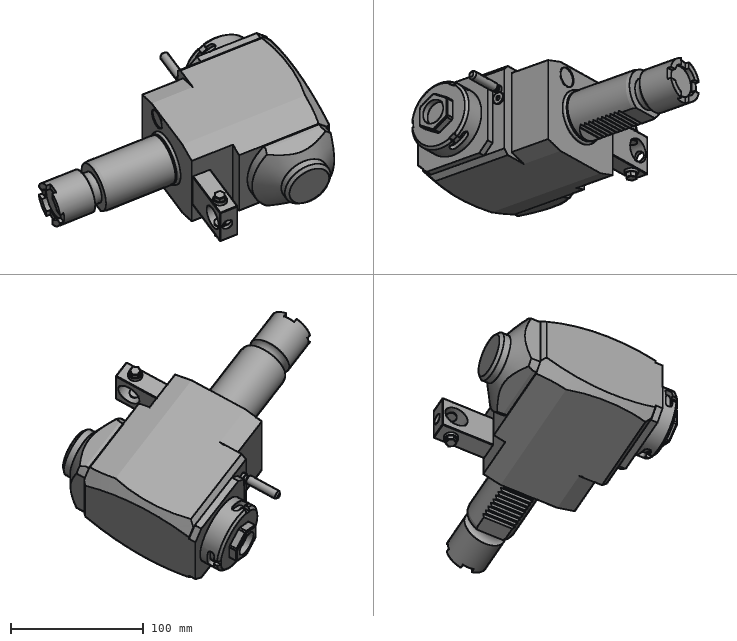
import cadquery as cq
import math


BODY_LENGTH = 114.2
BODY_HEIGHT = 75.0
BODY_HALF_HEIGHT = BODY_HEIGHT / 2
HEAD_LEFT = -47.5
HEAD_RIGHT = 48.5
HEAD_START = 35.3
NECK_HALF_WIDTH = 39.0
HEAD_EDGE_CHAMFER = 4.0
ROOF_HALF_WIDTH = 24.0
ROOF_SLOPE = math.tan(math.radians(16))
BACK_CORNER_CHAMFER = 3.2
BACK_CURVE_RADIUS = 185
BACK_CURVE_CENTRE_X = -9.5
BACK_BEVEL = 4.5
DISC_POCKET_X = -16.0
DISC_POCKET_Z = 27.7
DISC_POCKET_RADIUS = 7.7
DISC_POCKET_DEPTH = 0.9

SPINDLE_Y = 80.2
PLATE_LEFT = -53.3
PLATE_HALF_SIZE = BODY_HALF_HEIGHT - HEAD_EDGE_CHAMFER
PLATE_FRONT = 46.7
PLATE_CHAMFER = 8.2
NUT_LEFT = -70.5
NUT_RADIUS = 27.5
NUT_CHAMFER = 2.2
NUT_SLOT_FLOOR_RADIUS = 23.6
NUT_SLOT_X = -62.5
NUT_SLOT_WIDTH = 5.8
NUT_SLOT_LENGTH = 18.5
NUT_SLOT_COUNT = 3
NUT_NOTCH_WIDTH = 5.4
NUT_NOTCH_FLOOR = 24.7
HEX_LEFT = -77.2
HEX_FLATS = 27.3
HEX_CORNER_RADIUS = 15.3
HEX_CHAMFER = 0.9
HEX_BORE_RADIUS = 9.7
HEX_BORE_DEPTH = 5.4

COVER_RADIUS = 37.8
COVER_CONE_START = 56.1
COVER_CONE_END = 68.4
COVER_BACK = 109.9
COVER_HALF_HEIGHT = 29.5
COVER_SLOPE_START = 51.8
CAP_RADIUS = 19.5
CAP_RIGHT = 76.5
CAP_CHAMFER = 2.5

PIN_Y = 40.6
PIN_Z = 17.6
PIN_LEFT = -80.5
PIN_RADIUS = 3.5
PIN_TIP_CHAMFER = 1.5
PIN_RIGHT = -52.2
PIN_END_CHAMFER = 1.0
PIN_NECK_RADIUS = 2.2
PIN_RING_RADIUS = 3.0
PIN_RING_LEFT = -50.0
BUTTON_Z = 10.3
BUTTON_RADIUS = 4.7
BUTTON_HEIGHT = 1.0
BUTTON_HOLE_RADIUS = 1.7

COLLAR_RADIUS = 21.5
COLLAR_LENGTH = 2.4
COLLAR_ROUND = 1.0
RELIEF_RADIUS = 19.8
RELIEF_END = 3.7
SHANK_RADIUS = 20.0
SHANK_LENGTH = 62.8
SHANK_CHAMFER_LENGTH = 3.0
SHANK_CHAMFER_DEPTH = 0.6
GROOVE_RADIUS = 12.7
FLARE_RADIUS = 6.5
COUPLING_START = 71.0
COUPLING_RADIUS = 17.5
COUPLING_END = 100.8
TIP_BORE_RADIUS = 12.5
TIP_BORE_DEPTH = 4.3
TIP_SLOT_WIDTH = 9.2
TIP_SLOT_DEPTH = 3.2
RACK_FLAT = 16.0
RACK_START = 8.8
RACK_PITCH = 4.0
RACK_FIRST_GROOVE = 11.2
RACK_GROOVE_COUNT = 10
RACK_GROOVE_DEPTH = 1.3
RACK_GROOVE_HALF_WIDTH = 1.7

ARM_RIGHT = 82.0
ARM_FRONT = 0.9
ARM_BACK = 16.0
ARM_HALF_HEIGHT = 15.7
ARM_HOLE_X = 70.0
ARM_HOLE_RADIUS = 9.5
ARM_EDGE_CHAMFER = 0.5
ARM_END_HOLE_RADIUS = 4.3
SCREW_Y = 7.0
SCREW_END = 8.4
SCREW_RADIUS = 4.3
SCREW_FLANGE_RADIUS = 5.5
SCREW_FLANGE_TOP_RADIUS = 4.7
SCREW_FLANGE_TOP = 17.6
SCREW_HEX_FLATS = 7.5
SCREW_HEX_CHAMFER = 0.5
SCREW_TOP = 21.7


def box(x, y, z):
    """Box from (low, high) pairs along each axis."""
    size = (x[1] - x[0], y[1] - y[0], z[1] - z[0])
    return cq.Workplane("XY").box(*size, centered=False).translate((x[0], y[0], z[0]))


def cylinder_x(radius, left, right, y, z):
    return cq.Workplane("YZ", origin=(left, y, z)).circle(radius).extrude(right - left)


def mirror_z(points):
    """Close an upper outline with its mirror image below Z = 0."""
    return points + [(x, -z) for x, z in reversed(points)]


def revolve_x(points, y=0, z=0):
    """Solid turned about an X-parallel axis from (x, radius) points."""
    outline = [(points[0][0], 0)] + points + [(points[-1][0], 0)]
    turned = cq.Workplane("XY").polyline(outline).close().revolve(360, (0, 0), (1, 0))
    return turned.translate((0, y, z))


def roof_height(x):
    return BODY_HALF_HEIGHT - (abs(x) - ROOF_HALF_WIDTH) * ROOF_SLOPE


def make_body():
    neck_outline = mirror_z([
        (-NECK_HALF_WIDTH, roof_height(NECK_HALF_WIDTH)),
        (-ROOF_HALF_WIDTH, BODY_HALF_HEIGHT),
        (ROOF_HALF_WIDTH, BODY_HALF_HEIGHT),
        (NECK_HALF_WIDTH, roof_height(NECK_HALF_WIDTH)),
    ])
    head_outline = mirror_z([
        (HEAD_LEFT, BODY_HALF_HEIGHT - HEAD_EDGE_CHAMFER),
        (HEAD_LEFT + HEAD_EDGE_CHAMFER, BODY_HALF_HEIGHT),
        (ROOF_HALF_WIDTH, BODY_HALF_HEIGHT),
        (HEAD_RIGHT, roof_height(HEAD_RIGHT)),
    ])
    neck = cq.Workplane("XZ").polyline(neck_outline).close().extrude(-HEAD_START)
    head = (
        cq.Workplane("XZ", origin=(0, HEAD_START, 0))
        .polyline(head_outline).close()
        .extrude(HEAD_START - BODY_LENGTH)
        .edges(">X and >Y").chamfer(BACK_CORNER_CHAMFER)
    )
    body = neck.union(head)
    apex = (BODY_LENGTH + BODY_HALF_HEIGHT - BACK_BEVEL) / math.sqrt(2)
    for side in (1, -1):
        bevel_plane = cq.Plane(origin=(0, 0, 0), xDir=(1, 0, 0), normal=(0, -side, 1))
        bevel_cylinder = (
            cq.Workplane(bevel_plane)
            .center(BACK_CURVE_CENTRE_X, apex - BACK_CURVE_RADIUS)
            .circle(BACK_CURVE_RADIUS)
            .extrude(2 * BODY_LENGTH, both=True)
        )
        body = body.intersect(bevel_cylinder)
    pocket = (
        cq.Workplane("XZ", origin=(DISC_POCKET_X, 0, DISC_POCKET_Z))
        .circle(DISC_POCKET_RADIUS).extrude(-DISC_POCKET_DEPTH)
    )
    return body.cut(pocket)


def make_plate():
    plate = box((PLATE_LEFT, HEAD_LEFT), (PLATE_FRONT, BODY_LENGTH), (-PLATE_HALF_SIZE, PLATE_HALF_SIZE))
    return plate.edges("|X").chamfer(PLATE_CHAMFER)


def make_nut():
    nut = revolve_x([
        (NUT_LEFT, NUT_RADIUS - NUT_CHAMFER),
        (NUT_LEFT + NUT_CHAMFER, NUT_RADIUS),
        (PLATE_LEFT, NUT_RADIUS),
    ])
    slot = (
        cq.Workplane("XY", origin=(NUT_SLOT_X, 0, 0))
        .slot2D(NUT_SLOT_LENGTH, NUT_SLOT_WIDTH, 90).extrude(NUT_RADIUS)
        .cut(cylinder_x(NUT_SLOT_FLOOR_RADIUS, NUT_LEFT, PLATE_LEFT, 0, 0))
    )
    notch = box(
        (NUT_LEFT, NUT_SLOT_X),
        (-NUT_NOTCH_WIDTH / 2, NUT_NOTCH_WIDTH / 2),
        (NUT_NOTCH_FLOOR, NUT_RADIUS),
    )
    key_slot = slot.union(notch)
    for index in range(NUT_SLOT_COUNT):
        angle = -90 + index * 360 / NUT_SLOT_COUNT
        nut = nut.cut(key_slot.rotate((0, 0, 0), (1, 0, 0), angle))

    hex_corner_diameter = HEX_FLATS / math.cos(math.pi / 6)
    hexagon = (
        cq.Workplane("YZ", origin=(HEX_LEFT, 0, 0))
        .transformed(rotate=(0, 0, 90))
        .polygon(6, hex_corner_diameter).extrude(NUT_LEFT - HEX_LEFT)
    )
    hexagon = hexagon.intersect(cylinder_x(HEX_CORNER_RADIUS, HEX_LEFT, NUT_LEFT, 0, 0))
    hexagon = hexagon.faces("<X").chamfer(HEX_CHAMFER)
    bore = cylinder_x(HEX_BORE_RADIUS, HEX_LEFT, HEX_LEFT + HEX_BORE_DEPTH, 0, 0)
    return nut.union(hexagon).cut(bore).translate((0, SPINDLE_Y, 0))


def make_cover():
    cover = revolve_x([
        (HEAD_RIGHT, COVER_RADIUS),
        (COVER_CONE_START, COVER_RADIUS),
        (COVER_CONE_END, CAP_RADIUS),
        (CAP_RIGHT - CAP_CHAMFER, CAP_RADIUS),
        (CAP_RIGHT, CAP_RADIUS - CAP_CHAMFER),
    ], SPINDLE_Y)
    end_height = COVER_HALF_HEIGHT - (CAP_RIGHT - COVER_SLOPE_START) * ROOF_SLOPE
    envelope_outline = mirror_z([
        (HEAD_RIGHT, COVER_HALF_HEIGHT),
        (COVER_SLOPE_START, COVER_HALF_HEIGHT),
        (CAP_RIGHT, end_height),
    ])
    envelope = cq.Workplane("XZ").polyline(envelope_outline).close().extrude(-COVER_BACK)
    return cover.intersect(envelope)


def make_pin():
    return revolve_x([
        (PIN_LEFT, PIN_RADIUS - PIN_TIP_CHAMFER),
        (PIN_LEFT + PIN_TIP_CHAMFER, PIN_RADIUS),
        (PIN_RIGHT - PIN_END_CHAMFER, PIN_RADIUS),
        (PIN_RIGHT, PIN_NECK_RADIUS),
        (PIN_RING_LEFT, PIN_NECK_RADIUS),
        (PIN_RING_LEFT, PIN_RING_RADIUS),
        (HEAD_LEFT, PIN_RING_RADIUS),
    ], PIN_Y, PIN_Z)


def make_button():
    left = HEAD_LEFT - BUTTON_HEIGHT
    button = cylinder_x(BUTTON_RADIUS, left, HEAD_LEFT, PIN_Y, BUTTON_Z)
    return button.cut(cylinder_x(BUTTON_HOLE_RADIUS, left, HEAD_LEFT, PIN_Y, BUTTON_Z))


def make_shank():
    flare_centre = GROOVE_RADIUS + FLARE_RADIUS
    flare_angle = math.acos((flare_centre - COUPLING_RADIUS) / FLARE_RADIUS)
    flare_start = COUPLING_START - FLARE_RADIUS * math.sin(flare_angle)
    flare_mid = (
        flare_centre - FLARE_RADIUS * math.cos(flare_angle / 2),
        -flare_start - FLARE_RADIUS * math.sin(flare_angle / 2),
    )
    shank = (
        cq.Workplane("XY")
        .moveTo(0, 0)
        .lineTo(COLLAR_RADIUS, 0)
        .lineTo(COLLAR_RADIUS, COLLAR_ROUND - COLLAR_LENGTH)
        .radiusArc((COLLAR_RADIUS - COLLAR_ROUND, -COLLAR_LENGTH), COLLAR_ROUND)
        .lineTo(RELIEF_RADIUS, -COLLAR_LENGTH)
        .lineTo(RELIEF_RADIUS, -RELIEF_END)
        .lineTo(SHANK_RADIUS, -RELIEF_END)
        .lineTo(SHANK_RADIUS, SHANK_CHAMFER_LENGTH - SHANK_LENGTH)
        .lineTo(SHANK_RADIUS - SHANK_CHAMFER_DEPTH, -SHANK_LENGTH)
        .lineTo(GROOVE_RADIUS, -SHANK_LENGTH)
        .lineTo(GROOVE_RADIUS, -flare_start)
        .threePointArc(flare_mid, (COUPLING_RADIUS, -COUPLING_START))
        .lineTo(COUPLING_RADIUS, -COUPLING_END)
        .lineTo(0, -COUPLING_END)
        .close()
        .revolve(360, (0, 0), (0, 1))
    )
    tip_bore = (
        cq.Workplane("XZ", origin=(0, -COUPLING_END, 0))
        .circle(TIP_BORE_RADIUS).extrude(-TIP_BORE_DEPTH)
    )
    shank = shank.cut(tip_bore)
    slot_half = TIP_SLOT_WIDTH / 2
    slot_y = (-COUPLING_END, TIP_SLOT_DEPTH - COUPLING_END)
    across = (-COUPLING_RADIUS, COUPLING_RADIUS)
    shank = shank.cut(box(across, slot_y, (-slot_half, slot_half)))
    shank = shank.cut(box((-slot_half, slot_half), slot_y, across))
    return shank.cut(make_rack_cutter())


def make_rack_cutter():
    """Flat under the shank with a 45 degree run-out at the collar and a row of V grooves."""
    ramp = COLLAR_RADIUS - RACK_FLAT
    flat = (
        cq.Workplane("YZ")
        .polyline([
            (-RACK_START, -RACK_FLAT),
            (ramp - RACK_START, -COLLAR_RADIUS),
            (-SHANK_LENGTH, -COLLAR_RADIUS),
            (-SHANK_LENGTH, -RACK_FLAT),
        ])
        .close().extrude(SHANK_RADIUS, both=True)
    )
    for index in range(RACK_GROOVE_COUNT):
        y = -RACK_FIRST_GROOVE - index * RACK_PITCH
        groove = (
            cq.Workplane("YZ")
            .polyline([
                (y - RACK_GROOVE_HALF_WIDTH, -RACK_FLAT),
                (y, RACK_GROOVE_DEPTH - RACK_FLAT),
                (y + RACK_GROOVE_HALF_WIDTH, -RACK_FLAT),
            ])
            .close().extrude(SHANK_RADIUS, both=True)
        )
        flat = flat.union(groove)
    return flat


def make_arm():
    arm = (
        box((NECK_HALF_WIDTH, ARM_RIGHT), (ARM_FRONT, ARM_BACK), (-ARM_HALF_HEIGHT, ARM_HALF_HEIGHT))
        .edges("|X or >X").chamfer(ARM_EDGE_CHAMFER)
    )
    hole = (
        cq.Workplane("XZ", origin=(ARM_HOLE_X, 0, 0))
        .circle(ARM_HOLE_RADIUS).extrude(-ARM_BACK)
    )
    end_hole = cylinder_x(ARM_END_HOLE_RADIUS, ARM_HOLE_X, ARM_RIGHT, SCREW_Y, 0)
    screw = make_screw()
    return arm.cut(hole).cut(end_hole).union(screw).union(screw.mirror("XY"))


def make_screw():
    """Flanged hexagon screw standing on top of the arm and reaching into its cross hole."""
    turned = (
        cq.Workplane("XZ")
        .polyline([
            (0, SCREW_END),
            (SCREW_RADIUS, SCREW_END),
            (SCREW_RADIUS, ARM_HALF_HEIGHT),
            (SCREW_FLANGE_RADIUS, ARM_HALF_HEIGHT),
            (SCREW_FLANGE_TOP_RADIUS, SCREW_FLANGE_TOP),
            (0, SCREW_FLANGE_TOP),
        ])
        .close().revolve(360, (0, 0), (0, 1))
    )
    head = (
        cq.Workplane("XY", origin=(0, 0, SCREW_FLANGE_TOP))
        .transformed(rotate=(0, 0, 90))
        .polygon(6, SCREW_HEX_FLATS / math.cos(math.pi / 6))
        .extrude(SCREW_TOP - SCREW_FLANGE_TOP)
        .faces(">Z").chamfer(SCREW_HEX_CHAMFER)
    )
    return turned.union(head).translate((ARM_HOLE_X, SCREW_Y, 0))


result = make_body()
for piece in (make_plate(), make_nut(), make_cover(), make_pin(), make_button(), make_shank(), make_arm()):
    result = result.union(piece)